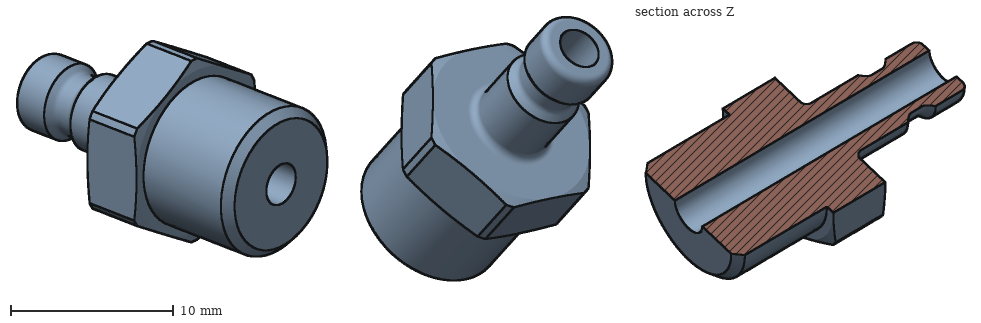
import cadquery as cq
import math

TOTAL_LENGTH = 20.0
GROOVE_START = 2.55
GROOVE_END = 4.72
HEX_START = 8.85
HEX_END = 12.95

STEM_RADIUS = 5.0 / 2
GROOVE_RADIUS = 4.0 / 2
NOSE_ROUND = 0.5
ROOT_FILLET = 0.5

HEX_ACROSS_FLATS = 11.0
HEX_CORNER_RADIUS = 12.4 / 2
HEX_CHAMFER_ANGLE = 15.0

BODY_RADIUS = 9.72 / 2
BODY_CHAMFER = 0.6
BORE_RADIUS = 2.7 / 2

GROOVE_FILLET = 0.5
HALF_ROOT_TWO = math.sqrt(0.5)
BLEND_LENGTH = GROOVE_FILLET * HALF_ROOT_TWO
BLEND_HEIGHT = GROOVE_FILLET * (1 - HALF_ROOT_TWO)
FLANK_DEPTH = STEM_RADIUS - GROOVE_RADIUS - BLEND_HEIGHT


def revolve_about_x(profile):
    """Revolve a closed (x, radius) profile about the X axis."""
    return profile.close().revolve(360, (0, 0, 0), (1, 0, 0))


def make_stem():
    flank_bottom = GROOVE_RADIUS + BLEND_HEIGHT
    floor_start = GROOVE_START + FLANK_DEPTH + BLEND_LENGTH
    floor_end = GROOVE_END - FLANK_DEPTH - BLEND_LENGTH
    profile = (
        cq.Workplane("XY")
        .lineTo(0, STEM_RADIUS - NOSE_ROUND)
        .radiusArc((NOSE_ROUND, STEM_RADIUS), NOSE_ROUND)
        .lineTo(GROOVE_START, STEM_RADIUS)
        .lineTo(GROOVE_START + FLANK_DEPTH, flank_bottom)
        .radiusArc((floor_start, GROOVE_RADIUS), -GROOVE_FILLET)
        .lineTo(floor_end, GROOVE_RADIUS)
        .radiusArc((GROOVE_END - FLANK_DEPTH, flank_bottom), -GROOVE_FILLET)
        .lineTo(GROOVE_END, STEM_RADIUS)
        .lineTo(HEX_START - ROOT_FILLET, STEM_RADIUS)
        .radiusArc((HEX_START, STEM_RADIUS + ROOT_FILLET), -ROOT_FILLET)
        .lineTo(HEX_START, 0)
    )
    return revolve_about_x(profile)


def make_hexagon():
    """Hexagon with corners turned down and both ends chamfered conically."""
    flat_radius = HEX_ACROSS_FLATS / 2
    corner_circle = HEX_ACROSS_FLATS / math.cos(math.radians(30))
    cone_length = (HEX_CORNER_RADIUS - flat_radius) * math.tan(math.radians(HEX_CHAMFER_ANGLE))
    prism = (
        cq.Workplane("YZ", origin=(HEX_START, 0, 0))
        .transformed(rotate=(0, 0, 90))
        .polygon(6, corner_circle)
        .extrude(HEX_END - HEX_START)
    )
    turned_blank = revolve_about_x(
        cq.Workplane("XY")
        .moveTo(HEX_START, 0)
        .lineTo(HEX_START, flat_radius)
        .lineTo(HEX_START + cone_length, HEX_CORNER_RADIUS)
        .lineTo(HEX_END - cone_length, HEX_CORNER_RADIUS)
        .lineTo(HEX_END, flat_radius)
        .lineTo(HEX_END, 0)
    )
    return prism.intersect(turned_blank)


def make_body():
    return (
        cq.Workplane("YZ", origin=(HEX_END, 0, 0))
        .circle(BODY_RADIUS)
        .extrude(TOTAL_LENGTH - HEX_END)
        .faces(">X")
        .chamfer(BODY_CHAMFER)
    )


bore = cq.Workplane("YZ").circle(BORE_RADIUS).extrude(TOTAL_LENGTH)
result = make_stem().union(make_hexagon()).union(make_body()).cut(bore)